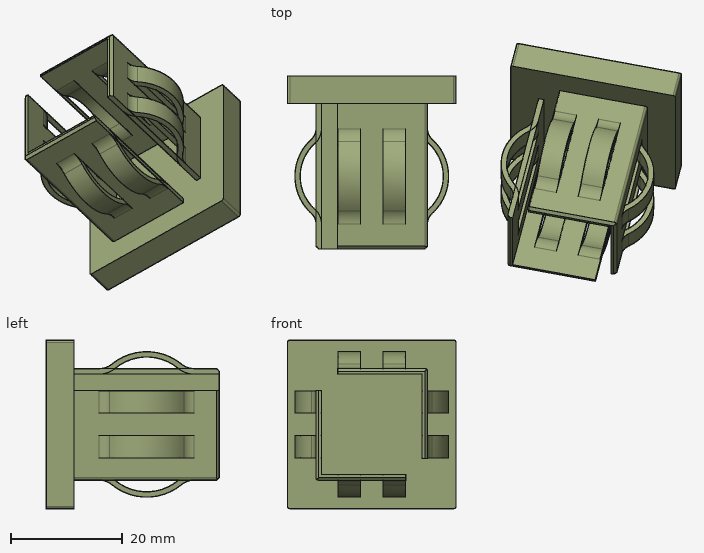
import cadquery as cq
import math

PLATE_WIDTH = 30.2
PLATE_THICKNESS = 5.0
PLATE_CORNER_RADIUS = 0.43

TOTAL_LENGTH = 31.0
INSERT_LENGTH = TOTAL_LENGTH - PLATE_THICKNESS
INSERT_WIDTH = 20.0
SHEET = 1.0
LEG_END = 6.1
EDGE_BREAK = 0.5

STRIP_WIDTH = 4.0
STRIP_PITCH = 2 * STRIP_WIDTH
STRIP_LENGTH = 17.0
STRIP_CENTER_Y = -INSERT_LENGTH / 2

SIDE_BULGE = 3.78
SIDE_CREST_HALF_LENGTH = 6.63
FLAT_BULGE = 3.05
FLAT_CREST_HALF_LENGTH = 6.23

HALF_INSERT = INSERT_WIDTH / 2


def cover_plate():
    """Plate with its front face at Y = 0 and its four short edges rounded."""
    return (
        cq.Workplane("XY")
        .box(PLATE_WIDTH, PLATE_THICKNESS, PLATE_WIDTH, centered=(True, False, True))
        .edges("|Y")
        .fillet(PLATE_CORNER_RADIUS)
    )


def arch_band(bulge, crest_half_length):
    """Spring strip along Y, lying on the +X leg and centred on Z = 0.

    Each face is a crest arc joined at both ends to a reversed arc that runs out along the sheet.
    """
    half_length = STRIP_LENGTH / 2
    slope = 2 * math.atan(bulge / half_length)
    crest_radius = crest_half_length / math.sin(slope)
    foot_radius = half_length / math.sin(slope) - crest_radius

    def face_points(offset):
        """Points from the -Y foot to the +Y foot of the face lying `offset` inside the outer one."""
        crest = crest_radius - offset
        foot = foot_radius + offset
        base = HALF_INSERT - offset
        apex = base + bulge

        def on_foot(side, angle):
            return (base + foot * (1 - math.cos(angle)),
                    STRIP_CENTER_Y + side * (half_length - foot * math.sin(angle)))

        return [
            (base, STRIP_CENTER_Y - half_length),
            on_foot(-1, slope / 2),
            on_foot(-1, slope),
            (apex, STRIP_CENTER_Y),
            on_foot(1, slope),
            on_foot(1, slope / 2),
            (base, STRIP_CENTER_Y + half_length),
        ]

    outer = face_points(0)
    inner = face_points(SHEET)[::-1]
    profile = cq.Workplane("XY").moveTo(*outer[0])
    for middle, end in zip(outer[1::2], outer[2::2]):
        profile = profile.threePointArc(middle, end)
    profile = profile.lineTo(*inner[0])
    for middle, end in zip(inner[1::2], inner[2::2]):
        profile = profile.threePointArc(middle, end)
    return profile.close().extrude(STRIP_WIDTH / 2, both=True)


def slot_block():
    """Block that cuts the slot a strip is pushed out of, through the +X leg at Z = 0."""
    return cq.Workplane("XY").box(SHEET, STRIP_LENGTH, STRIP_WIDTH).translate(
        (HALF_INSERT - SHEET / 2, STRIP_CENTER_Y, 0)
    )


def plain_angle():
    """Sheet angle with its legs at +X and +Z; outer corner rounded, outer tip edges bevelled."""
    size = HALF_INSERT + LEG_END
    bar = (
        cq.Workplane("XY")
        .box(size, INSERT_LENGTH, size, centered=False)
        .translate((-LEG_END, -INSERT_LENGTH, -LEG_END))
    )
    hollow = bar.translate((-SHEET, 0, -SHEET))
    bar = bar.faces("<Y").edges(">X or >Z").chamfer(EDGE_BREAK)
    bar = bar.edges("|Y and >X and >Z").fillet(EDGE_BREAK)
    return bar.cut(hollow)


def spring_angle():
    """Sheet angle with two spring strips on each leg."""
    angle = plain_angle()
    side_strip = arch_band(SIDE_BULGE, SIDE_CREST_HALF_LENGTH)
    flat_strip = arch_band(FLAT_BULGE, FLAT_CREST_HALF_LENGTH)
    for strip, turn in ((side_strip, 0), (flat_strip, -90)):
        for z in (-STRIP_PITCH / 2, STRIP_PITCH / 2):
            slot = slot_block().translate((0, 0, z)).rotate((0, 0, 0), (0, 1, 0), turn)
            spring = strip.translate((0, 0, z)).rotate((0, 0, 0), (0, 1, 0), turn)
            angle = angle.cut(slot).union(spring)
    return angle


angle = spring_angle()
opposite_angle = angle.rotate((0, 0, 0), (0, 1, 0), 180)
result = cover_plate().union(angle).union(opposite_angle)